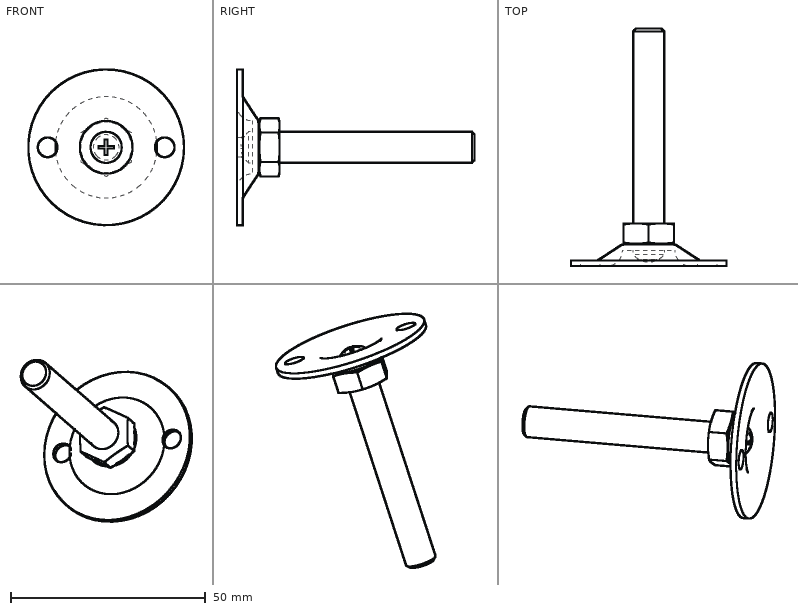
import cadquery as cq
import math

overall_length = 61.0

flange_diameter = 40.0
flange_thickness = 1.5
mount_hole_diameter = 5.0
mount_hole_offset = 15.0

cone_base_radius = 13.05
cone_neck_radius = 6.9
recess_floor_radius = 6.8
recess_depth = 4.0
neck_length = flange_thickness + recess_depth

nut_across_flats = 13.0
nut_height = 5.2
bearing_face_height = 0.25
nut_chamfer_angle = 15.0

rod_diameter = 8.0
rod_end_chamfer = 0.75

cross_length = 4.0
cross_width = 0.75
cross_depth = 0.75

head_rim_height = 1.0
head_dome_height = 2.0

rod_radius = rod_diameter / 2
nut_apothem = nut_across_flats / 2
nut_start = neck_length + bearing_face_height
head_tip = recess_depth - head_rim_height - head_dome_height
nut_corner_radius = nut_apothem / math.cos(math.radians(30))


def along_y(start):
    """Workplane facing -Y whose origin is at the given Y on the axis; negative extrusions go +Y."""
    return cq.Workplane("XZ", origin=(0, start, 0))


def revolve_about_y(profile):
    return profile.close().revolve(360, (0, 0, 0), (0, 1, 0))


def make_foot():
    """Drilled flange with a conical back and a trumpet-shaped recess."""
    flange = along_y(0).circle(flange_diameter / 2).extrude(-flange_thickness)
    holes = (
        along_y(0)
        .pushPoints([(-mount_hole_offset, 0), (mount_hole_offset, 0)])
        .circle(mount_hole_diameter / 2)
        .extrude(-flange_thickness)
    )
    cone = revolve_about_y(
        cq.Workplane("XY")
        .moveTo(0, flange_thickness)
        .lineTo(cone_base_radius, flange_thickness)
        .lineTo(cone_neck_radius, neck_length)
        .lineTo(0, neck_length)
    )
    arc_reach = recess_depth * math.sqrt(0.5)
    arc_center = recess_floor_radius + recess_depth
    recess = revolve_about_y(
        cq.Workplane("XY")
        .lineTo(arc_center, 0)
        .threePointArc(
            (arc_center - arc_reach, recess_depth - arc_reach),
            (recess_floor_radius, recess_depth),
        )
        .lineTo(0, recess_depth)
    )
    return flange.cut(holes).union(cone).cut(recess)


def make_nut():
    """Hexagon with corners on the Z axis, chamfered at both ends, on a thin round bearing face."""
    hexagon = (
        along_y(nut_start)
        .polygon(6, 2 * nut_corner_radius)
        .extrude(-nut_height)
        .rotate((0, 0, 0), (0, 1, 0), 30)
    )
    corner_drop = (nut_corner_radius - nut_apothem) * math.tan(math.radians(nut_chamfer_angle))
    nut_top = nut_start + nut_height
    envelope = revolve_about_y(
        cq.Workplane("XY")
        .moveTo(0, nut_start)
        .lineTo(nut_apothem, nut_start)
        .lineTo(nut_corner_radius, nut_start + corner_drop)
        .lineTo(nut_corner_radius, nut_top - corner_drop)
        .lineTo(nut_apothem, nut_top)
        .lineTo(0, nut_top)
    )
    bearing_face = along_y(neck_length).circle(nut_apothem).extrude(-bearing_face_height)
    return hexagon.intersect(envelope).union(bearing_face)


def make_rod():
    """Plain rod with a chamfered far end."""
    return (
        along_y(recess_depth)
        .circle(rod_radius)
        .extrude(recess_depth - overall_length)
        .faces(">Y")
        .chamfer(rod_end_chamfer)
    )


def make_head():
    """Rivet head in the recess: a short cylindrical rim under a shallow spherical dome."""
    dome_radius = (rod_radius**2 + head_dome_height**2) / (2 * head_dome_height)
    half_angle = math.asin(rod_radius / dome_radius) / 2
    dome_midpoint = (
        dome_radius * math.sin(half_angle),
        head_tip + dome_radius * (1 - math.cos(half_angle)),
    )
    return revolve_about_y(
        cq.Workplane("XY")
        .moveTo(0, recess_depth)
        .lineTo(rod_radius, recess_depth)
        .lineTo(rod_radius, head_tip + head_dome_height)
        .threePointArc(dome_midpoint, (0, head_tip))
    )


def make_cross_slot():
    """Cross-shaped driver recess cut into the tip of the head."""
    arm = along_y(head_tip).rect(cross_length, cross_width).extrude(-cross_depth)
    return arm.union(arm.rotate((0, 0, 0), (0, 1, 0), 90))


result = make_foot().union(make_nut()).union(make_rod()).union(make_head()).cut(make_cross_slot())